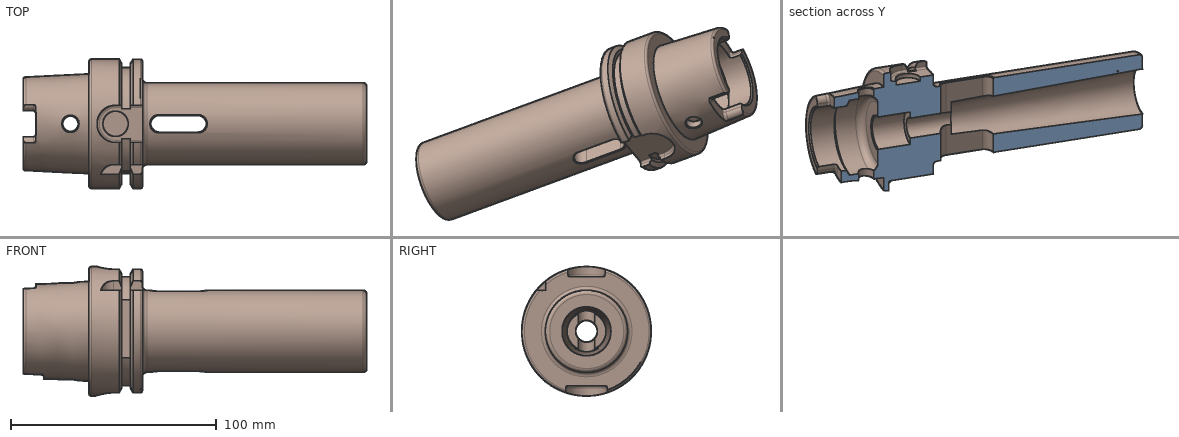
import cadquery as cq
import math


taper_length = 32.0
taper_base_radius = 24.3
taper_slope = 0.05
taper_end_radius = taper_base_radius - taper_slope * taper_length
taper_end_round = 1.2
gripper_hole_radius = 3.75
gripper_hole_chamfer = 0.4
gripper_hole_x = -9.0

drive_half_width = 6.27
drive_round_start = 17.8
drive_flare_radius = 3.0
drive_corner_round = 1.3
drive_depth_top = 6.2
drive_depth_bottom = 10.0

flange_radius = 31.5
flange_width = 26.0
flange_round = 1.2
groove_center_x = 18.0
groove_floor_width = 4.0
groove_floor_radius = 27.5
groove_lip_radius = 29.1
groove_flank_angle = 30.0
groove_flat_distance = 23.65
groove_flat_tilt = 3.0

keyway_floor = 26.5
keyway_end_x = 12.9
keyway_half_width_top = 9.0
keyway_half_width_bottom = 10.0
keyway_floor_round = 1.0
disc_recess_radius = 6.15
disc_recess_depth = 2.2
notch_offset = 19.85
notch_cutter_radius = 6.3
notch_end_x = 11.9

sleeve_radius = 20.0
sleeve_end_x = 135.0
sleeve_end_round = 2.0
sleeve_root_round = 2.0
drift_slot_start = 30.0
drift_slot_end = 57.0
drift_slot_width = 8.0
drift_slot_chamfer = 0.4

mouth_radius = 17.0
mouth_chamfer = 0.75
mouth_length = 12.9
clamping_radius = 19.8
clamping_angle = 60.0
clamping_floor_x = -3.0
clamping_floor_round = 3.9
thread_radius = 8.5
thread_chamfer = 0.5
thread_end_x = 14.0
through_radius = 5.2
socket_mouth_radius = 23.825 / 2
socket_slope = 1 / 19.922 / 2
socket_end_x = 37.0
socket_end_radius = socket_mouth_radius - socket_slope * (sleeve_end_x - socket_end_x)

clearance = 10.0
rim_margin = 1.0


def revolve(profile):
    """Close a half profile along the X axis and turn it into a solid."""
    return profile.close().revolve(360, (0, 0, 0), (1, 0, 0))


def round_mid(center_x, center_r, radius, x_sign, r_sign):
    """Middle point of a quarter round; the signs tell which quarter around the center."""
    offset = radius * math.sqrt(0.5)
    return (center_x + x_sign * offset, center_r + r_sign * offset)


def make_body():
    """Outer shape of taper, grooved flange and sleeve, turned about the X axis."""
    groove_start = groove_center_x - groove_floor_width / 2
    groove_end = groove_center_x + groove_floor_width / 2
    flare = (flange_radius - groove_lip_radius) * math.tan(math.radians(groove_flank_angle))
    flange_round_r = flange_radius - flange_round
    flange_back_x = flange_width - flange_round
    root_x = flange_width + sleeve_root_round
    root_r = sleeve_radius + sleeve_root_round
    end_x = sleeve_end_x - sleeve_end_round
    end_r = sleeve_radius - sleeve_end_round
    nose_x = taper_end_round - taper_length
    nose_r = taper_end_radius + taper_slope * taper_end_round
    profile = (
        cq.Workplane("XY")
        .moveTo(-taper_length, 0)
        .lineTo(-taper_length, nose_r - taper_end_round)
        .threePointArc(round_mid(nose_x, nose_r - taper_end_round, taper_end_round, -1, 1), (nose_x, nose_r))
        .lineTo(0, taper_base_radius)
        .lineTo(0, flange_round_r)
        .threePointArc(
            round_mid(flange_round, flange_round_r, flange_round, -1, 1), (flange_round, flange_radius))
        .lineTo(groove_start - flare, flange_radius)
        .lineTo(groove_start, groove_lip_radius)
        .lineTo(groove_start, groove_floor_radius)
        .lineTo(groove_end, groove_floor_radius)
        .lineTo(groove_end, groove_lip_radius)
        .lineTo(groove_end + flare, flange_radius)
        .lineTo(flange_back_x, flange_radius)
        .threePointArc(
            round_mid(flange_back_x, flange_round_r, flange_round, 1, 1), (flange_width, flange_round_r))
        .lineTo(flange_width, root_r)
        .threePointArc(round_mid(root_x, root_r, sleeve_root_round, -1, -1), (root_x, sleeve_radius))
        .lineTo(end_x, sleeve_radius)
        .threePointArc(round_mid(end_x, end_r, sleeve_end_round, 1, 1), (sleeve_end_x, end_r))
        .lineTo(sleeve_end_x, 0)
    )
    return revolve(profile)


def make_bores():
    """Stepped bore along the axis: clamping mouth, coolant thread, through hole, Morse socket."""
    shoulder_start = mouth_length - taper_length
    shoulder_end = shoulder_start + (clamping_radius - mouth_radius) / math.tan(math.radians(clamping_angle))
    round_x = clamping_floor_x - clamping_floor_round
    round_r = clamping_radius - clamping_floor_round
    profile = (
        cq.Workplane("XY")
        .moveTo(-taper_length, 0)
        .lineTo(-taper_length, mouth_radius + mouth_chamfer)
        .lineTo(-taper_length + mouth_chamfer, mouth_radius)
        .lineTo(shoulder_start, mouth_radius)
        .lineTo(shoulder_end, clamping_radius)
        .lineTo(round_x, clamping_radius)
        .threePointArc(round_mid(round_x, round_r, clamping_floor_round, 1, 1), (clamping_floor_x, round_r))
        .lineTo(clamping_floor_x, thread_radius + thread_chamfer)
        .lineTo(clamping_floor_x + thread_chamfer, thread_radius)
        .lineTo(thread_end_x, thread_radius)
        .lineTo(thread_end_x, through_radius)
        .lineTo(socket_end_x, through_radius)
        .lineTo(socket_end_x, socket_end_radius)
        .lineTo(sleeve_end_x, socket_mouth_radius)
        .lineTo(sleeve_end_x, 0)
    )
    return revolve(profile)


def on_bottom(cutter):
    """Turn a cutter made for the +Z side around to the -Z side."""
    return cutter.rotate((0, 0, 0), (1, 0, 0), 180)


def make_drive_slot(depth):
    """Slot from the taper end whose flanks flare outward in a rounded edge."""
    flare_y = drive_half_width + drive_flare_radius
    flare_z = drive_round_start + drive_flare_radius
    middle = drive_flare_radius * math.sqrt(0.5)
    top = taper_base_radius + clearance
    length = depth + clearance
    slot = (
        cq.Workplane("YZ", origin=(-taper_length - clearance, 0, 0))
        .moveTo(-drive_half_width, 0)
        .lineTo(drive_half_width, 0)
        .lineTo(drive_half_width, drive_round_start)
        .threePointArc((flare_y - middle, drive_round_start + middle), (flare_y, flare_z))
        .lineTo(flare_y, top)
        .lineTo(-flare_y, top)
        .lineTo(-flare_y, flare_z)
        .threePointArc((middle - flare_y, drive_round_start + middle), (-drive_half_width, drive_round_start))
        .close()
        .extrude(length)
    )
    return slot.faces(">X").edges("not(<Z or >Z)").fillet(drive_corner_round)


def make_keyway(half_width):
    """Flat-bottomed keyway, open toward the sleeve, with a round end and a rounded floor edge."""
    open_x = flange_width + clearance
    height = flange_radius + clearance - keyway_floor
    keyway = (
        cq.Workplane("XY", origin=(0, 0, keyway_floor))
        .moveTo(open_x, half_width)
        .lineTo(keyway_end_x, half_width)
        .threePointArc((keyway_end_x - half_width, 0), (keyway_end_x, -half_width))
        .lineTo(open_x, -half_width)
        .close()
        .extrude(height)
    )
    return keyway.faces("<Z").edges("not >X").fillet(keyway_floor_round)


def make_disc_recess():
    """Shallow round recess in the floor of the +Z keyway."""
    return (
        cq.Workplane("XY", origin=(keyway_end_x, 0, keyway_floor - disc_recess_depth))
        .circle(disc_recess_radius)
        .extrude(disc_recess_depth + clearance)
    )


def make_corner_notch():
    """Right-angled notch in the flange rim at the -Y +Z corner, running out in a cutter radius."""
    center_y = -notch_offset - notch_cutter_radius
    height = flange_radius
    length = flange_width + clearance - notch_end_x
    outer_y = -flange_radius - clearance
    round_end = cq.Workplane("XY").center(notch_end_x, center_y).circle(notch_cutter_radius).extrude(height)
    run = cq.Workplane("XY").box(length, -notch_offset - outer_y, height, centered=False)
    notch = run.translate((notch_end_x, outer_y, 0)).union(round_end)
    return notch.translate((0, 0, notch_offset))


def make_groove_flat():
    """Flat on the groove floor facing -Y, tilted a little upward."""
    side = 2 * groove_floor_radius
    return (
        cq.Workplane("XY")
        .box(groove_floor_width, side, side)
        .translate((groove_center_x, -groove_flat_distance - side / 2, 0))
        .rotate((0, 0, 0), (1, 0, 0), -groove_flat_tilt)
    )


def chamfer_rims(body, start_x, end_x, half_width, rim_z, size):
    """Chamfer the top and bottom rims of an opening that passes through along Z."""
    near_z = rim_z - rim_margin
    far_z = rim_z + rim_margin
    for low_z, high_z in ((near_z, far_z), (-far_z, -near_z)):
        low_corner = (start_x - rim_margin, -half_width - rim_margin, low_z)
        high_corner = (end_x + rim_margin, half_width + rim_margin, high_z)
        body = body.edges(cq.selectors.BoxSelector(low_corner, high_corner)).chamfer(size)
    return body


def cut_drift_slot(body):
    """Slot through the sleeve for driving out the tool."""
    length = drift_slot_end - drift_slot_start
    slot = (
        cq.Workplane("XY", origin=((drift_slot_start + drift_slot_end) / 2, 0, 0))
        .slot2D(length, drift_slot_width)
        .extrude(sleeve_radius + clearance, both=True)
    )
    half_width = drift_slot_width / 2
    return chamfer_rims(
        body.cut(slot), drift_slot_start, drift_slot_end, half_width, sleeve_radius, drift_slot_chamfer)


def cut_gripper_hole(body):
    """Cross hole through the taper for the clamping gripper."""
    radius = gripper_hole_radius
    hole = (
        cq.Workplane("XY", origin=(gripper_hole_x, 0, 0))
        .circle(radius)
        .extrude(taper_base_radius + clearance, both=True)
    )
    start_x = gripper_hole_x - radius
    end_x = gripper_hole_x + radius
    rim_z = taper_base_radius + taper_slope * gripper_hole_x
    return chamfer_rims(body.cut(hole), start_x, end_x, radius, rim_z, gripper_hole_chamfer)


body = cut_gripper_hole(cut_drift_slot(make_body()))

result = (
    body.cut(make_bores())
    .cut(make_drive_slot(drive_depth_top))
    .cut(on_bottom(make_drive_slot(drive_depth_bottom)))
    .cut(make_keyway(keyway_half_width_top))
    .cut(on_bottom(make_keyway(keyway_half_width_bottom)))
    .cut(make_disc_recess())
    .cut(make_corner_notch())
    .cut(make_groove_flat())
)